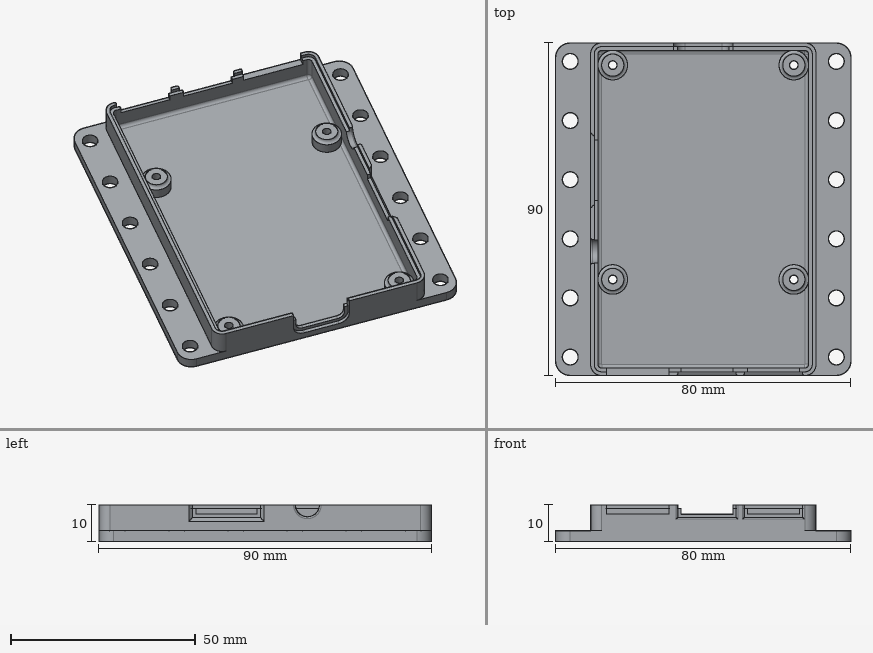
import cadquery as cq
import math

plate_width = 80.0
plate_length = 90.0
plate_height = 3.0
plate_corner_radius = 4.0
mount_hole_diameter = 4.2
mount_hole_count = 6
mount_hole_pitch = 16.0
mount_hole_inset = 4.0
mount_hole_x = plate_width / 2 - mount_hole_inset

tray_width = 61.0
tray_length = plate_length
tray_height = 10.0
tray_corner_radius = 3.0
wall = 2.0
cavity_corner_radius = 1.1
floor_thickness = 2.0
floor_fillet = 1.0

rebate_width = 1.0
rebate_depth = 1.0
rebate_floor = tray_height - rebate_depth

board_width = 56.0
board_length = 85.0
board_left = -board_width / 2
board_top = board_length / 2
board_hole_inset = 3.5
standoff_pitch_x = 49.0
standoff_pitch_y = 58.0
standoff_diameter = 8.0
standoff_height = 4.0
standoff_shoulder = 1.0
screw_hole_diameter = 2.25

connector_floor = 7.5
recess_depth = 1.0
ethernet_offset = 10.25
ethernet_center = board_left + ethernet_offset
ethernet_width = 17.0
usb_offsets = (29.0, 47.0)
usb_centers = [board_left + offset for offset in usb_offsets]
usb_width = 14.0
usb_step = 0.9
usb_mouth_radius = 0.5
hdmi_offset = 32.0
hdmi_center = board_top - hdmi_offset
hdmi_width = 16.4
hdmi_step = 1.0

audio_center = -11.4
audio_radius = 3.25
audio_mouth_fillet = 0.5

card_outer_width = 16.0
card_outer_floor = 2.0
card_step = 1.0
card_outer_radius = 3.0
card_upper_floor = 7.0
card_inner_width = card_outer_width - 2 * card_step
card_inner_floor = card_outer_floor + card_step
card_inner_radius = card_outer_radius - card_step

side_face_x = -tray_width / 2
front_face_y = -tray_length / 2
back_face_y = tray_length / 2


def rounded_block(width, length, bottom, top, radius):
    """Upright block centred on Z with rounded vertical edges."""
    block = cq.Workplane("XY").workplane(offset=bottom).rect(width, length).extrude(top - bottom)
    return block.edges("|Z").fillet(radius)


def box_between(x_range, y_range, z_range):
    """Axis-aligned box spanning the given ranges."""
    sizes = [high - low for low, high in (x_range, y_range, z_range)]
    corner = (x_range[0], y_range[0], z_range[0])
    return cq.Workplane("XY").box(*sizes, centered=False).translate(corner)


def make_shell():
    """Plate and tray, hollowed out and rebated around the rim."""
    plate = rounded_block(plate_width, plate_length, 0, plate_height, plate_corner_radius)
    tray = rounded_block(tray_width, tray_length, 0, tray_height, tray_corner_radius)
    cavity = rounded_block(
        tray_width - 2 * wall,
        tray_length - 2 * wall,
        floor_thickness,
        tray_height,
        cavity_corner_radius,
    )
    cavity = cavity.faces("<Z").edges().fillet(floor_fillet)
    rebate = rounded_block(
        tray_width - 2 * rebate_width,
        tray_length - 2 * rebate_width,
        rebate_floor,
        tray_height,
        tray_corner_radius - rebate_width,
    )
    return plate.union(tray).cut(cavity).cut(rebate)


def mount_holes():
    """Two rows of screw holes, one in each flange."""
    first_y = -mount_hole_pitch * (mount_hole_count - 1) / 2
    points = [
        (x, first_y + index * mount_hole_pitch)
        for x in (-mount_hole_x, mount_hole_x)
        for index in range(mount_hole_count)
    ]
    return cq.Workplane("XY").pushPoints(points).circle(mount_hole_diameter / 2).extrude(plate_height)


def standoff_points():
    """Standoff centres, at the corners of a rectangle measured from the +Y board edge."""
    top_y = board_top - board_hole_inset
    return [
        (x, y)
        for x in (-standoff_pitch_x / 2, standoff_pitch_x / 2)
        for y in (top_y, top_y - standoff_pitch_y)
    ]


def standoffs():
    """Round posts with a concave shoulder that carry the board."""
    top = floor_thickness + standoff_height
    shoulder_z = top - standoff_shoulder
    tip_radius = standoff_diameter / 2 - standoff_shoulder
    arc_offset = standoff_shoulder * (1 - math.sqrt(0.5))
    post = (
        cq.Workplane("XZ")
        .lineTo(standoff_diameter / 2, 0)
        .lineTo(standoff_diameter / 2, shoulder_z)
        .threePointArc((tip_radius + arc_offset, shoulder_z + arc_offset), (tip_radius, top))
        .lineTo(0, top)
        .close()
        .revolve(360, (0, 0, 0), (0, 1, 0))
    )
    posts = cq.Workplane("XY")
    for x, y in standoff_points():
        posts = posts.add(post.translate((x, y, 0)))
    return posts.combine()


def screw_holes():
    """Holes through the standoffs and the floor."""
    centers = cq.Workplane("XY").pushPoints(standoff_points())
    return centers.circle(screw_hole_diameter / 2).extrude(tray_height)


def stepped_opening(center, width, step):
    """Opening through the -Y wall: a narrow throat behind a wider and deeper recess."""
    throat = box_between(
        (center - width / 2, center + width / 2),
        (front_face_y, front_face_y + wall),
        (connector_floor, tray_height),
    )
    recess = box_between(
        (center - width / 2 - step, center + width / 2 + step),
        (front_face_y, front_face_y + recess_depth),
        (connector_floor - step, tray_height),
    )
    return throat.union(recess)


def rounded_mouth(width, floor, radius):
    """Material removed at Y = 0 when the outer edges of a notch open at the rim are rounded."""
    margin = 2 * radius
    frame = box_between(
        (-width / 2 - margin, width / 2 + margin),
        (0, recess_depth),
        (floor - margin, tray_height),
    )
    notch = box_between((-width / 2, width / 2), (0, recess_depth), (floor, tray_height))
    notch_edges = cq.selectors.BoxSelector(
        (-width / 2 - radius, -radius / 2, floor - radius),
        (width / 2 + radius, radius / 2, tray_height - radius),
    )
    rounded_frame = frame.cut(notch).edges(notch_edges).fillet(radius)
    return frame.cut(rounded_frame)


def usb_opening(center):
    """Stepped opening through the -Y wall with a rounded mouth."""
    recess_width = usb_width + 2 * usb_step
    mouth = rounded_mouth(recess_width, connector_floor - usb_step, usb_mouth_radius)
    mouth = mouth.translate((center, front_face_y, 0))
    return stepped_opening(center, usb_width, usb_step).union(mouth)


def ethernet_opening():
    """Plain rectangular opening through the -Y wall."""
    return box_between(
        (ethernet_center - ethernet_width / 2, ethernet_center + ethernet_width / 2),
        (front_face_y, front_face_y + wall),
        (connector_floor, tray_height),
    )


def hdmi_opening():
    """Stepped opening through the -X wall with a mouth flared at 45 degrees."""
    recess_width = hdmi_width + 2 * hdmi_step
    recess_height = tray_height - connector_floor + hdmi_step
    flare = (
        cq.Workplane("XZ", origin=(0, front_face_y, tray_height))
        .rect(recess_width + 2 * recess_depth, 2 * (recess_height + recess_depth))
        .workplane(offset=-recess_depth)
        .rect(recess_width, 2 * recess_height)
        .loft(ruled=True)
    )
    opening = stepped_opening(0, hdmi_width, hdmi_step).union(flare)
    opening = opening.translate((0, -front_face_y, 0)).rotate((0, 0, 0), (0, 0, 1), -90)
    return opening.translate((side_face_x, hdmi_center, 0))


def audio_opening():
    """Half-round opening through the -X wall with a rounded mouth."""
    mouth_radius = audio_radius + audio_mouth_fillet
    arc_offset = audio_mouth_fillet * (1 - math.sqrt(0.5))
    bore = (
        cq.Workplane("XY")
        .lineTo(mouth_radius, 0)
        .threePointArc((audio_radius + arc_offset, arc_offset), (audio_radius, audio_mouth_fillet))
        .lineTo(audio_radius, wall)
        .lineTo(0, wall)
        .close()
        .revolve(360, (0, 0, 0), (0, 1, 0))
    )
    bore = bore.rotate((0, 0, 0), (0, 0, 1), -90)
    return bore.translate((side_face_x, audio_center, tray_height))


def card_slot():
    """Stepped slot in the +Y wall with rounded lower corners."""
    step_y = back_face_y - rebate_width
    inner_y = back_face_y - wall
    outer = box_between(
        (-card_outer_width / 2, card_outer_width / 2),
        (step_y, back_face_y),
        (card_outer_floor, tray_height),
    )
    outer = outer.edges("|Y and <Z").fillet(card_outer_radius)
    inner = box_between(
        (-card_inner_width / 2, card_inner_width / 2),
        (inner_y, step_y),
        (card_inner_floor, tray_height),
    )
    inner = inner.edges("|Y and <Z").fillet(card_inner_radius)
    upper = box_between(
        (-card_outer_width / 2, card_outer_width / 2),
        (inner_y, step_y),
        (card_upper_floor, tray_height),
    )
    return outer.union(inner).union(upper)


result = make_shell().union(standoffs())
result = result.cut(screw_holes()).cut(mount_holes())
for usb_center in usb_centers:
    result = result.cut(usb_opening(usb_center))
result = result.cut(ethernet_opening()).cut(hdmi_opening()).cut(audio_opening()).cut(card_slot())